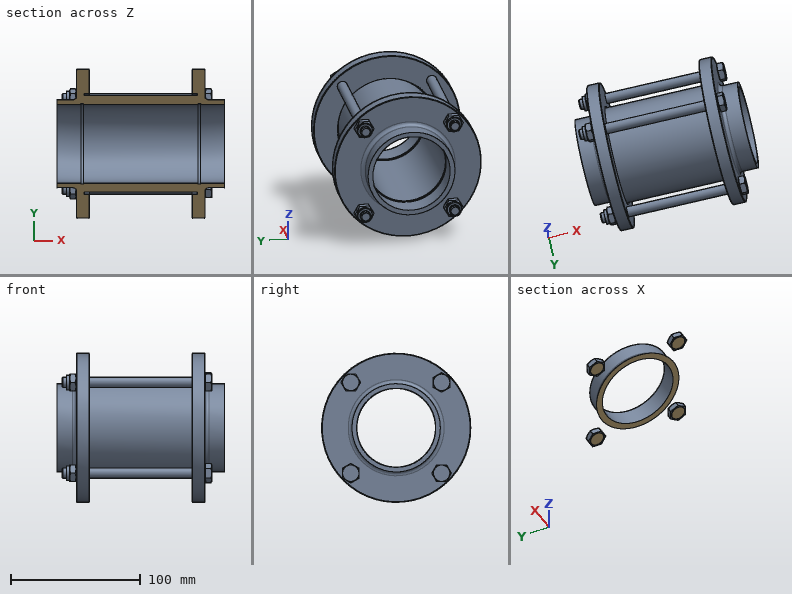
import cadquery as cq
import math

overall_length = 129.0
pipe_diameter = 68.0
bore_diameter = 60.5
flange_diameter = 115.0
flange_thickness = 10.0
flange_spacing = 79.0
flange_chamfer = 0.5
collar_fillet = 3.0
tube_diameter = 75.0

recess_diameter = 77.5
recess_depth = 3.9

groove_diameter = 61.5
groove_width = 1.9
groove_inset = 4.6

bolt_offset = 35.0
rod_diameter = 8.0
rod_tip_distance = 60.5
rod_tip_chamfer = 0.8
hex_across_flats = 13.0
hex_chamfer_angle = 30.0
head_height = 4.8
head_face_diameter = 12.6
head_washer_diameter = 11.6
head_washer_thickness = 0.4
nut_height = 5.4
nut_face_diameter = 11.6
nut_collar_diameter = 11.4
nut_collar_length = 2.3

flange_inner_x = flange_spacing / 2
flange_outer_x = flange_inner_x + flange_thickness
nut_outer_x = flange_outer_x + nut_height


def cylinder(diameter, start_x, end_x):
    """Cylinder about the X axis from start_x to end_x."""
    return cq.Workplane("YZ", origin=(start_x, 0, 0)).circle(diameter / 2).extrude(end_x - start_x)


def flange():
    """Flange on the +X side with chamfered rims and the fillet where the pipe leaves it."""
    disc = cylinder(flange_diameter, flange_inner_x, flange_outer_x).edges().chamfer(flange_chamfer)
    pipe_radius = pipe_diameter / 2
    fillet_end_x = flange_outer_x + collar_fillet
    fillet_outer_radius = pipe_radius + collar_fillet
    arc_inset = collar_fillet * (1 - math.sqrt(0.5))
    collar = (
        cq.Workplane("XY")
        .moveTo(flange_inner_x, 0)
        .lineTo(flange_inner_x, fillet_outer_radius)
        .lineTo(flange_outer_x, fillet_outer_radius)
        .threePointArc(
            (flange_outer_x + arc_inset, pipe_radius + arc_inset),
            (fillet_end_x, pipe_radius),
        )
        .lineTo(fillet_end_x, 0)
        .close()
        .revolve(360, (0, 0, 0), (1, 0, 0))
    )
    return disc.union(collar)


def hexagon(height, face_diameter, chamfered_faces):
    """Hexagon on the +X flange face, two flats facing Z, chamfered around the chosen faces."""
    corner_diameter = hex_across_flats / math.cos(math.radians(30))
    chamfer_width = (corner_diameter - face_diameter) / 2
    chamfer_depth = chamfer_width * math.tan(math.radians(hex_chamfer_angle))
    prism = (
        cq.Workplane("YZ", origin=(flange_outer_x, 0, 0))
        .polygon(6, corner_diameter)
        .extrude(height)
    )
    envelope = cylinder(corner_diameter, flange_outer_x, flange_outer_x + height)
    envelope = envelope.faces(chamfered_faces).edges().chamfer(chamfer_depth, chamfer_width)
    return prism.intersect(envelope)


def nut():
    """Hex nut with a round collar, on the -X flange."""
    collar = cylinder(nut_collar_diameter, flange_outer_x, nut_outer_x + nut_collar_length)
    return hexagon(nut_height, nut_face_diameter, "|X").union(collar).mirror("YZ")


def head():
    """Hex bolt head on a thin round washer face, on the +X flange."""
    washer_end_x = flange_outer_x + head_washer_thickness
    washer = cylinder(head_washer_diameter, flange_outer_x, washer_end_x)
    hexagon_part = hexagon(head_height, head_face_diameter, ">X")
    return hexagon_part.translate((head_washer_thickness, 0, 0)).union(washer)


def rod():
    """Plain rod with a chamfered free end beyond the nut."""
    bar = cylinder(rod_diameter, -rod_tip_distance, flange_outer_x)
    return bar.faces("<X").chamfer(rod_tip_chamfer)


pipe = cylinder(pipe_diameter, -overall_length / 2, overall_length / 2)
tube_half_length = flange_inner_x + recess_depth
tube = cylinder(tube_diameter, -tube_half_length, tube_half_length)
recess = cylinder(recess_diameter, -tube_half_length, tube_half_length)
flanges = flange().union(flange().mirror("YZ"))
body = flanges.cut(recess).union(tube).union(pipe)

body = body.cut(cylinder(bore_diameter, -overall_length / 2, overall_length / 2))
groove_start_x = flange_inner_x + groove_inset
groove = cylinder(groove_diameter, groove_start_x, groove_start_x + groove_width)
body = body.cut(groove).cut(groove.mirror("YZ"))

nut_and_rod = nut().union(rod())
bolt_corners = ((1, 1), (-1, 1), (-1, -1), (1, -1))
for quarter, (y_sign, z_sign) in enumerate(bolt_corners):
    turned_head = head().rotate((0, 0, 0), (1, 0, 0), 90 * (quarter + 1))
    bolt = nut_and_rod.union(turned_head)
    body = body.union(bolt.translate((0, y_sign * bolt_offset, z_sign * bolt_offset)))

result = body